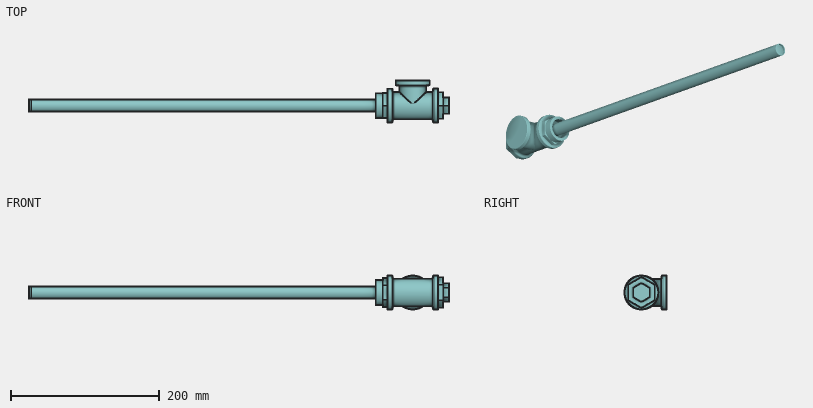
import cadquery as cq
import math

tee_reach = 34.0
body_diameter = 37.0
branch_diameter = 36.5
flange_diameter = 46.0
flange_thickness = 7.0
flange_edge_radius = 1.75
flange_face_chamfer = 0.5
flange_root_radius = 1.5

gland_hex_flats = 34.0
gland_hex_length = 6.0
collar_diameter = 33.7
collar_bore_diameter = 26.0
collar_length = 10.0
rod_diameter = 16.5
rod_recess_diameter = 15.0
rod_recess_depth = 3.0
rod_end_x = -516.0

plug_hex_flats = 36.0
plug_hex_length = 7.0
plug_head_flats = 22.0
plug_head_length = 8.0

gland_face_x = -tee_reach - gland_hex_length
collar_face_x = gland_face_x - collar_length
plug_face_x = tee_reach + plug_hex_length


def cylinder_along_x(diameter, start_x, end_x):
    return cq.Workplane("YZ").workplane(offset=start_x).circle(diameter / 2).extrude(end_x - start_x)


def hexagon_along_x(across_flats, start_x, length):
    """Hexagonal prism with flats facing +Y and -Y and corners facing +Z and -Z."""
    profile = cq.Sketch().regularPolygon(across_flats / math.sqrt(3), 6)
    return cq.Workplane("YZ").workplane(offset=start_x).placeSketch(profile).extrude(length)


def tee_arm(diameter):
    """Flanged arm revolved about +X, from the origin to the flange face."""
    body_radius = diameter / 2
    flange_radius = flange_diameter / 2
    flange_back = tee_reach - flange_thickness
    bend = math.sqrt(0.5)
    root_start = flange_back - flange_root_radius
    root_top = body_radius + flange_root_radius
    rim_x = flange_back + flange_edge_radius
    rim_y = flange_radius - flange_edge_radius
    return (
        cq.Workplane("XY")
        .lineTo(0, body_radius)
        .lineTo(root_start, body_radius)
        .threePointArc(
            (root_start + flange_root_radius * bend, root_top - flange_root_radius * bend),
            (flange_back, root_top),
        )
        .lineTo(flange_back, rim_y)
        .threePointArc(
            (rim_x - flange_edge_radius * bend, rim_y + flange_edge_radius * bend),
            (rim_x, flange_radius),
        )
        .lineTo(tee_reach - flange_face_chamfer, flange_radius)
        .lineTo(tee_reach, flange_radius - flange_face_chamfer)
        .lineTo(tee_reach, 0)
        .close()
        .revolve(360, (0, 0, 0), (1, 0, 0))
    )


def tee():
    plug_arm = tee_arm(body_diameter)
    rod_arm = plug_arm.rotate((0, 0, 0), (0, 0, 1), 180)
    branch = tee_arm(branch_diameter).rotate((0, 0, 0), (0, 0, 1), 90)
    return plug_arm.union(rod_arm).union(branch)


def gland():
    """Hexagon and hollow collar around the rod."""
    hexagon = hexagon_along_x(gland_hex_flats, gland_face_x, gland_hex_length)
    collar = cylinder_along_x(collar_diameter, collar_face_x, gland_face_x)
    recess = cylinder_along_x(collar_bore_diameter, collar_face_x, gland_face_x)
    return hexagon.union(collar).cut(recess)


def plug():
    hexagon = hexagon_along_x(plug_hex_flats, tee_reach, plug_hex_length)
    head = hexagon_along_x(plug_head_flats, plug_face_x, plug_head_length)
    return hexagon.union(head)


def rod():
    """Long rod with a shallow round recess in its free end."""
    bar = cylinder_along_x(rod_diameter, rod_end_x, gland_face_x)
    recess = cylinder_along_x(rod_recess_diameter, rod_end_x, rod_end_x + rod_recess_depth)
    return bar.cut(recess)


result = tee().union(gland()).union(plug()).union(rod())